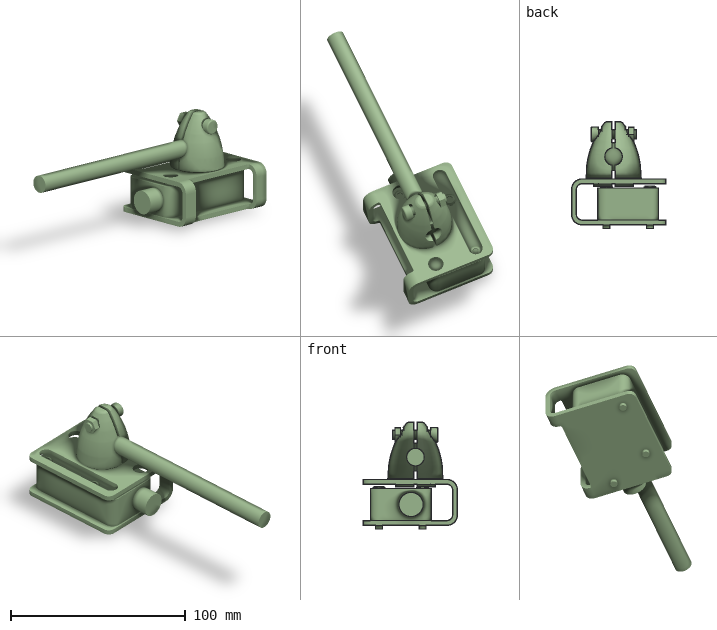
import cadquery as cq
import math


sheet = 2.8
bracket_left = -30.0
bracket_right = 24.0
bracket_depth = 64.0
bracket_height = 26.4
bend_radius = 6.1
bracket_corner = 4.1
window_left = 17.3
window_depth = 48.0
window_corner = 1.0

slot_x = -20.9
slot_length = 58.1
slot_width = 8.0
access_x = 4.1
access_y = 25.0
access_radius = 4.4

box_left = -25.7
box_right = 9.1
box_depth = 62.2
box_top = 21.2
box_corner = 4.9
cable_x = -2.5
cable_radius = 6.9
cable_end_y = -41.1

screw_places = [(slot_x, access_y), (slot_x, -11.3), (access_x, -access_y)]
screw_radius = 2.0
screw_bottom = -2.0
screw_head_height = 1.1
screw_head_corners = 8.0
screw_head_top_radius = 2.7
socket_radius = 1.7
socket_depth = 0.6

slit = 1.9
dome_radius = 14.9
dome_edge = 0.6
dome_top = 59.0
crown_flat_radius = 3.1
crown_radius = 4.5
crown_height = 1.0
neck_length = 22.8
neck_width = 16.5
neck_corner = 6.0
neck_bottom = 22.1

rod_z = 39.1
rod_radius = 5.0
overall_length = 157.0
rod_end_y = bracket_depth / 2 - overall_length
collar_radius = 8.0
collar_back = 9.9
collar_front = -5.2

bolt_z = 51.8
bolt_radius = 2.7
bolt_left = -13.0
seat_x = 6.6
bolt_nut_left = -11.8
bolt_nut_right = -8.5
bolt_nut_corners = 9.4
head_left = 8.6
head_right = 12.9
head_radius = 4.2
head_rounding = 0.8


def rod_along_x(x_from, x_to, radius):
    """Cylinder on the bolt axis."""
    return cq.Workplane("YZ", origin=(x_from, 0, bolt_z)).circle(radius).extrude(x_to - x_from)


def hexagon_along_x(x_from, x_to, corners):
    """Hexagonal bar on the bolt axis, with two corners along Y."""
    return cq.Workplane("YZ", origin=(x_from, 0, bolt_z)).polygon(6, corners).extrude(x_to - x_from)


def rod_along_y(y_from, y_to, radius, x, z):
    """Cylinder along Y, from the larger y_from to y_to."""
    return cq.Workplane("XZ", origin=(x, y_from, z)).circle(radius).extrude(y_from - y_to)


def neck_block(z_from, z_to):
    """Rounded block of the clamp neck and of the hole that it sits in."""
    return (
        cq.Workplane("XY", origin=(0, 0, z_from))
        .rect(neck_length, neck_width)
        .extrude(z_to - z_from)
        .edges("|Z")
        .fillet(neck_corner)
    )


def screw_shank(x, y):
    """Screw shank from below the bracket to the top of the box."""
    return (
        cq.Workplane("XY", origin=(x, y, screw_bottom))
        .circle(screw_radius)
        .extrude(box_top - screw_bottom)
    )


def screw_head(x, y):
    """Tapered hexagonal head with two corners along Y and a round socket on top."""
    top = box_top + screw_head_height
    hexagon = (
        cq.Workplane("XY", origin=(x, y, box_top))
        .transformed(rotate=(0, 0, 90))
        .polygon(6, screw_head_corners)
        .extrude(screw_head_height)
    )
    cone = (
        cq.Workplane("XY", origin=(x, y, box_top))
        .circle(screw_head_corners / 2)
        .workplane(offset=screw_head_height)
        .circle(screw_head_top_radius)
        .loft()
    )
    socket = cq.Workplane("XY", origin=(x, y, top)).circle(socket_radius).extrude(-socket_depth)
    return hexagon.intersect(cone).cut(socket)


def make_bracket():
    width = bracket_right - bracket_left
    middle_x = (bracket_left + bracket_right) / 2
    outer = (
        cq.Workplane("XY")
        .center(middle_x, 0)
        .rect(width, bracket_depth)
        .extrude(bracket_height)
        .edges("|Y and >X")
        .fillet(bend_radius)
        .edges("|Z and <X")
        .fillet(bracket_corner)
    )
    inner = (
        cq.Workplane("XY", origin=(middle_x - sheet, 0, sheet))
        .rect(width, bracket_depth)
        .extrude(bracket_height - 2 * sheet)
        .edges("|Y and >X")
        .fillet(bend_radius - sheet)
    )
    window = (
        cq.Workplane("XY")
        .center(window_left + width / 2, 0)
        .rect(width, window_depth)
        .extrude(bracket_height)
        .edges("|Z and <X")
        .fillet(window_corner)
    )
    upper = cq.Workplane("XY", origin=(0, 0, bracket_height - sheet))
    slot = upper.center(slot_x, 0).slot2D(slot_length, slot_width, 90).extrude(sheet)
    access = (
        upper.pushPoints([(access_x, access_y), (access_x, -access_y)])
        .circle(access_radius)
        .extrude(sheet)
    )
    bracket = outer.cut(inner).cut(window).cut(slot).cut(access)
    bracket = bracket.cut(neck_block(bracket_height - sheet, bracket_height))
    for x, y in screw_places:
        bracket = bracket.cut(screw_shank(x, y))
    return bracket


def make_sensor_box():
    box = (
        cq.Workplane("XY", origin=((box_left + box_right) / 2, 0, sheet))
        .rect(box_right - box_left, box_depth)
        .extrude(box_top - sheet)
        .edges("|Z")
        .fillet(box_corner)
    )
    cable_z = (sheet + box_top) / 2
    box = box.union(rod_along_y(0, cable_end_y, cable_radius, cable_x, cable_z))
    for x, y in screw_places:
        box = box.union(screw_shank(x, y)).union(screw_head(x, y))
    return box


def dome_half(side):
    """Half dome on the +X (side = 1) or -X (side = -1) side of the slit."""
    base_z = bracket_height + dome_edge
    crown_z = dome_top - crown_height
    rise = crown_z - base_z
    inset = dome_radius - crown_radius
    flank_radius = (inset**2 + rise**2) / (2 * inset)
    half_angle = math.asin(rise / flank_radius) / 2
    flank_middle = (
        dome_radius - flank_radius * (1 - math.cos(half_angle)),
        base_z + flank_radius * math.sin(half_angle),
    )
    dome = (
        cq.Workplane("XZ")
        .moveTo(0, bracket_height)
        .lineTo(dome_radius - dome_edge, bracket_height)
        .lineTo(dome_radius, base_z)
        .threePointArc(flank_middle, (crown_radius, crown_z))
        .tangentArcPoint((crown_flat_radius, dome_top), relative=False)
        .lineTo(0, dome_top)
        .close()
        .revolve(360, (0, 0, 0), (0, 1, 0))
    )
    keep = cq.Workplane("XY").box(dome_top, dome_top, 2 * dome_top).translate((side * dome_top / 2, 0, 0))
    return dome.intersect(keep).translate((side * slit / 2, 0, 0))


def make_clamp():
    slit_cut = cq.Workplane("XY").box(slit, bracket_depth, 2 * dome_top)
    clamp = neck_block(neck_bottom, bracket_height).cut(slit_cut)
    for side in (-1, 1):
        clamp = clamp.union(dome_half(side))

    clamp = clamp.cut(rod_along_y(dome_radius, 0, rod_radius, 0, rod_z))
    clamp = clamp.cut(hexagon_along_x(-dome_radius, -seat_x, bolt_nut_corners))
    clamp = clamp.cut(rod_along_x(seat_x, dome_radius, head_radius))

    clamp = clamp.union(rod_along_y(collar_back, collar_front, collar_radius, 0, rod_z))
    clamp = clamp.union(rod_along_y(0, rod_end_y, rod_radius, 0, rod_z))

    clamp = clamp.union(rod_along_x(bolt_left, head_right, bolt_radius))
    clamp = clamp.union(hexagon_along_x(bolt_nut_left, bolt_nut_right, bolt_nut_corners))
    head = rod_along_x(head_left, head_right, head_radius).faces(">X").edges().fillet(head_rounding)
    return clamp.union(head)


bracket = make_bracket()
sensor_box = make_sensor_box()
clamp = make_clamp()

bodies = [bracket, sensor_box, clamp]
result = cq.Compound.makeCompound([body.solids().val() for body in bodies])